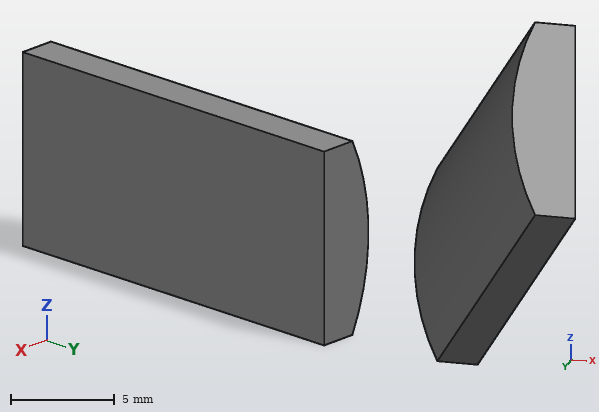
import cadquery as cq

length = 20.0
height = 10.0
center_thickness = 3.15
edge_thickness = 2.0

back_x = center_thickness / 2
edge_x = back_x - edge_thickness
crown_x = back_x - center_thickness
half_height = height / 2

result = (
    cq.Workplane("XZ")
    .moveTo(back_x, -half_height)
    .lineTo(back_x, half_height)
    .lineTo(edge_x, half_height)
    .threePointArc((crown_x, 0), (edge_x, -half_height))
    .close()
    .extrude(length / 2, both=True)
)